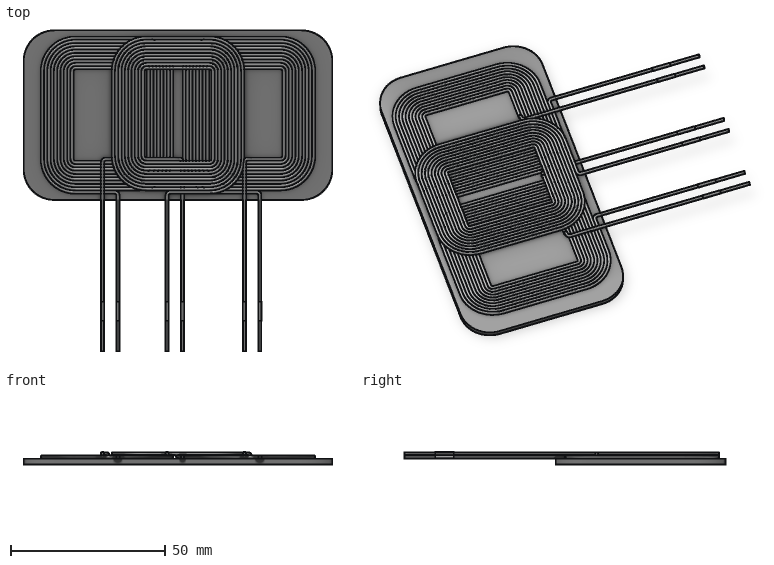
import cadquery as cq
import math

overall_length_y = 104.0
overall_height = 4.2

plate_length = 100.0
plate_width = 55.0
plate_corner_radius = 10.0

wire_diameter = 1.0
turns = 10
bundle_width = 10.7
turn_pitch = bundle_width / turns
straight_length_x = 20.5
straight_length_y = 28.5
half_span_x = straight_length_x / 2
half_span_y = straight_length_y / 2
coil_spacing = 23.0

inner_lead_x = -1.5
outer_lead_x = 3.5
lead_bend_radius = 1.0
ramp_start_x = 1.0
ramp_end_x = inner_lead_x + lead_bend_radius
lead_end_y = plate_width / 2 - overall_length_y

sleeve_diameter = 1.1
sleeve_length = 6.0
bare_tip_length = 10.0
sleeve_end_y = lead_end_y + bare_tip_length

layer_pitch = turn_pitch
upper_layer_z = overall_height - sleeve_diameter / 2
lower_layer_z = upper_layer_z - layer_pitch
plate_thickness = lower_layer_z - wire_diameter / 2


def line(start, end):
    return cq.Edge.makeLine(cq.Vector(*start), cq.Vector(*end))


def corner(center, radius, start_angle):
    """Clockwise quarter turn in the XY plane, starting at start_angle degrees."""

    def point(angle):
        direction = math.radians(angle)
        x = center[0] + radius * math.cos(direction)
        y = center[1] + radius * math.sin(direction)
        return cq.Vector(x, y, center[2])

    return cq.Edge.makeThreePointArc(point(start_angle), point(start_angle - 45), point(start_angle - 90))


def outer_lead_edges():
    """Straight lead at the -Y side and its bend into the outermost turn."""
    wire_y = -half_span_y - turns * turn_pitch
    bend_x = outer_lead_x - lead_bend_radius
    bend_y = wire_y - lead_bend_radius
    bend_start = cq.Vector(outer_lead_x, bend_y, 0)
    lead = line((outer_lead_x, lead_end_y, 0), bend_start.toTuple())
    bend = cq.Edge.makeTangentArc(bend_start, cq.Vector(0, 1, 0), cq.Vector(bend_x, wire_y, 0))
    return [lead, bend, line((bend_x, wire_y, 0), (-half_span_x, wire_y, 0))]


def turn_edges(radius):
    """One clockwise turn; its last corner is raised by a pitch, so that the next turn is a pitch smaller."""
    left, right = -half_span_x, half_span_x
    bottom, top = -half_span_y, half_span_y
    raised_bottom = bottom + turn_pitch
    last_corner = (right, raised_bottom, 0)
    return [
        corner((left, bottom, 0), radius, 270),
        line((left - radius, bottom, 0), (left - radius, top, 0)),
        corner((left, top, 0), radius, 180),
        line((left, top + radius, 0), (right, top + radius, 0)),
        corner((right, top, 0), radius, 90),
        line((right + radius, top, 0), (right + radius, raised_bottom, 0)),
        corner(last_corner, radius, 0),
    ]


def turn_link(radius):
    """Straight run along the -Y side from a turn of this radius to the next smaller one."""
    wire_y = -half_span_y + turn_pitch - radius
    return line((half_span_x, wire_y, 0), (-half_span_x, wire_y, 0))


def inner_lead_edges():
    """Run from the innermost turn, S-shaped ramp to the other layer, bend and straight lead."""
    wire_y = -half_span_y
    lead_z = layer_pitch
    bend_y = wire_y - lead_bend_radius
    ramp_middle = cq.Vector((ramp_start_x + ramp_end_x) / 2, wire_y, lead_z / 2)
    ramp_start = cq.Vector(ramp_start_x, wire_y, 0)
    ramp_end = cq.Vector(ramp_end_x, wire_y, lead_z)
    run = line((half_span_x, wire_y, 0), ramp_start.toTuple())
    ramp_foot = cq.Edge.makeTangentArc(ramp_start, cq.Vector(-1, 0, 0), ramp_middle)
    ramp_head = cq.Edge.makeTangentArc(ramp_middle, ramp_foot.tangentAt(1), ramp_end)
    bend_end = cq.Vector(inner_lead_x, bend_y, lead_z)
    bend = cq.Edge.makeTangentArc(ramp_end, cq.Vector(-1, 0, 0), bend_end)
    lead = line(bend_end.toTuple(), (inner_lead_x, lead_end_y, lead_z))
    return [run, ramp_foot, ramp_head, bend, lead]


def coil_path():
    edges = outer_lead_edges()
    for turn in range(turns, 0, -1):
        radius = turn * turn_pitch
        edges += turn_edges(radius)
        if turn > 1:
            edges.append(turn_link(radius))
    edges += inner_lead_edges()
    return cq.Wire.assembleEdges(edges)


def sleeve(x, z):
    """Sleeve on the lead at x and z, pointing towards +Y."""
    return (
        cq.Workplane(cq.Plane(origin=(x, sleeve_end_y, z), xDir=(1, 0, 0), normal=(0, 1, 0)))
        .circle(sleeve_diameter / 2)
        .extrude(sleeve_length)
    )


def make_wire(path, start, direction):
    """Round wire along a path that leaves its start point in the given direction."""
    section_plane = cq.Plane(origin=start, normal=direction)
    return cq.Workplane(section_plane).circle(wire_diameter / 2).sweep(cq.Workplane(path))


def make_coil():
    """Coil centred on X = 0, wound in the layer Z = 0 with its inner lead one layer higher."""
    wire = make_wire(coil_path(), (outer_lead_x, lead_end_y, 0), (0, 1, 0))
    return wire.union(sleeve(outer_lead_x, 0)).union(sleeve(inner_lead_x, layer_pitch))


def turn_over(shape):
    return shape.rotate((0, 0, 0), (0, 1, 0), 180)


def make_notched_coil():
    """Coil with a notch in its outermost turn, where the lead of the coil turned over beside it passes."""
    path = cq.Wire.assembleEdges(inner_lead_edges())
    inner_lead = make_wire(path, (half_span_x, -half_span_y, 0), (-1, 0, 0))
    return make_coil().cut(turn_over(inner_lead).translate((-coil_spacing, 0, layer_pitch)))


def make_plate():
    return (
        cq.Workplane("XY")
        .rect(plate_length, plate_width)
        .extrude(plate_thickness)
        .edges("|Z")
        .fillet(plate_corner_radius)
    )


plate = make_plate()
left_coil = make_coil().translate((-coil_spacing, 0, lower_layer_z))

notched_coil = make_notched_coil()
right_coil = notched_coil.translate((coil_spacing, 0, lower_layer_z))
middle_coil = turn_over(notched_coil).translate((0, 0, upper_layer_z))

result = cq.Compound.makeCompound([plate.val(), left_coil.val(), middle_coil.val(), right_coil.val()])